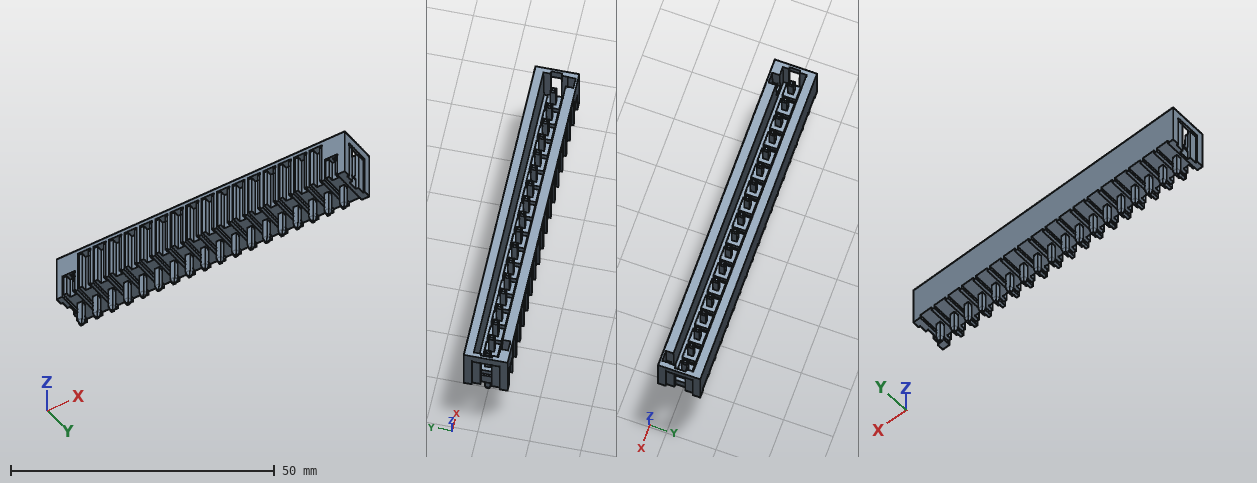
import cadquery as cq
import math

length = 65.4
width = 8.5
total_height = 14.8
body_height = 10.3
body_bottom = total_height - body_height
back_wall = 1.75
front_wall = 1.95
left_wall = 0.9
right_wall = 1.05
row_y = (front_wall - back_wall) / 2

pin_count = 18
row_length = 59.5
pitch = row_length / (pin_count - 1)
first_pin_inset = 2.75
pin_side = 1.05
pin_tip_side = 0.5
pin_lower_taper = 1.05
pin_upper_taper = 0.4
pin_top_gap = 1.95

cavity_depth = 7.85
wall_draft = 1.2
pad_side = 2.75
pad_height = 1.25

end_recess_width = 5.4
end_recess_depth = 0.4
end_window_width = 2.15
end_window_top_gap = 1.95
end_window_depth = 1.0
end_guide_wall = 0.5

flute_width = 2.8
flute_depth = 0.4
flute_slot_width = 1.4
flute_slot_depth = 1.6
flute_top_gap = 1.0
short_flute_top_gap = 5.05
channel_height = 0.8

pocket_length = 2.1
pocket_offset = -0.05
pocket_front_wall = 0.45
pocket_depth = 5.9

pin_xs = [first_pin_inset + i * pitch - length / 2 for i in range(pin_count)]
end_pin_xs = [pin_xs[0], pin_xs[-1]]
left_x = -length / 2
right_x = length / 2
front_y = -width / 2
back_y = width / 2


def block(x_range, y_range, z_range):
    """Axis-aligned block between the given limits."""
    (x0, x1), (y0, y1), (z0, z1) = x_range, y_range, z_range
    return cq.Workplane("XY").box(x1 - x0, y1 - y0, z1 - z0, centered=False).translate((x0, y0, z0))


def around(center, size):
    return center - size / 2, center + size / 2


def cavity():
    """Pocket open at the top, narrowing slightly towards its floor."""
    cavity_length = length - left_wall - right_wall
    cavity_width = width - back_wall - front_wall
    return (
        cq.Workplane("XY", origin=((left_wall - right_wall) / 2, row_y, total_height))
        .rect(cavity_length, cavity_width)
        .extrude(-cavity_depth, taper=wall_draft)
    )


def flute(x, top_gap):
    z_range = (body_bottom, total_height - top_gap)
    wide = block(around(x, flute_width), (front_y, front_y + flute_depth), z_range)
    slot = block(around(x, flute_slot_width), (front_y, front_y + flute_slot_depth), z_range)
    return wide.union(slot)


def channel(x):
    return block(around(x, flute_width), (front_y, back_y), (body_bottom, body_bottom + channel_height))


def end_opening(outer_x, inward, wall):
    """Stepped recess in an end face, with a guide slot above it on the inner side of the wall."""
    z_range = (body_bottom, total_height - end_window_top_gap)

    def cut(start, stop, cut_width, heights):
        x_range = sorted((outer_x + inward * start, outer_x + inward * stop))
        return block(x_range, around(0, cut_width), heights)

    recess = cut(0, end_recess_depth, end_recess_width, z_range)
    window = cut(0, end_window_depth, end_window_width, z_range)
    guide_heights = (total_height - cavity_depth, total_height)
    wall_at_floor = wall + cavity_depth * math.tan(math.radians(wall_draft))
    guide = cut(end_guide_wall, wall_at_floor, end_window_width, guide_heights)
    return recess.union(window).union(guide)


def coding_pocket(pin_x):
    """Drafted pocket beside an end pin, open at the top and towards the cavity."""
    pocket_front = front_y + pocket_front_wall
    center_x = pin_x + pocket_offset + pocket_length / 2
    return (
        cq.Workplane("XY", origin=(center_x, (pocket_front + row_y) / 2, total_height))
        .rect(pocket_length, row_y - pocket_front)
        .extrude(-pocket_depth, taper=wall_draft)
    )


def pad(x):
    floor_z = total_height - cavity_depth
    return block(around(x, pad_side), around(row_y, pad_side), (floor_z, floor_z + pad_height))


def pin(x):
    """Square pin with a blunt pyramid at both ends."""
    shoulder_z = total_height - pin_top_gap - pin_upper_taper
    shaft = block(around(x, pin_side), around(row_y, pin_side), (pin_lower_taper, shoulder_z))
    lower_tip = (
        cq.Workplane("XY", origin=(x, row_y, 0)).rect(pin_tip_side, pin_tip_side)
        .workplane(offset=pin_lower_taper).rect(pin_side, pin_side).loft(ruled=True)
    )
    upper_tip = (
        cq.Workplane("XY", origin=(x, row_y, shoulder_z)).rect(pin_side, pin_side)
        .workplane(offset=pin_upper_taper).rect(pin_tip_side, pin_tip_side).loft(ruled=True)
    )
    return shaft.union(lower_tip).union(upper_tip)


housing = block((left_x, right_x), (front_y, back_y), (body_bottom, total_height))
housing = housing.cut(cavity())
housing = housing.cut(end_opening(left_x, 1, left_wall))
housing = housing.cut(end_opening(right_x, -1, right_wall))

for x in pin_xs:
    top_gap = short_flute_top_gap if x in end_pin_xs else flute_top_gap
    housing = housing.cut(flute(x, top_gap)).cut(channel(x))
for x in end_pin_xs:
    housing = housing.cut(coding_pocket(x))
for x in pin_xs:
    housing = housing.union(pad(x)).union(pin(x))

result = housing